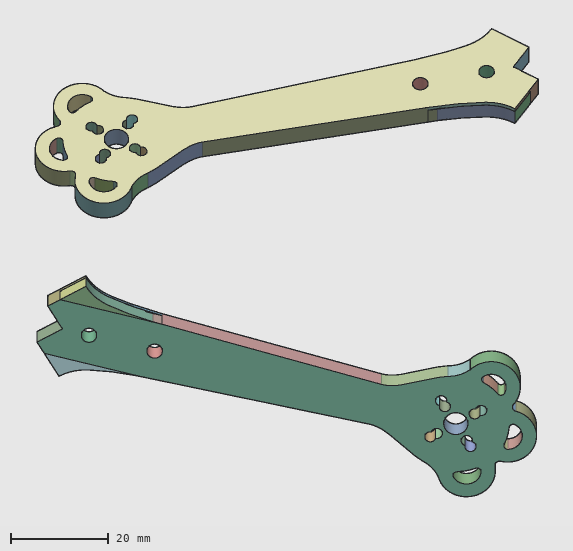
import cadquery as cq
import math

THICKNESS = 5.0
TOP_SKIN = 1.0
GUSSET_HEIGHT = THICKNESS - TOP_SKIN
ARM_ANGLE = 45.0

SHAFT_DIAMETER = 5.0
SCREW_DIAMETER = 2.3
SCREW_RADII = (4.5, 6.0)
SCREW_COUNT = 4

LOBE_RADIUS = 5.95
LOBE_DISTANCE = 11.0
LOBE_SPACING = 63.5
LOBE_ANGLES = [ARM_ANGLE + 180 + i * LOBE_SPACING for i in (-1, 0, 1)]
VALLEY_RADIUS = 1.0
WINDOW_RADIUS = 3.0
WINDOW_INNER_RADIUS = 11.0
WINDOW_CORNER_RADIUS = 0.8

LOBE_END = (9.2, -8.7)
NECK_ARC_MIDDLE = (9.2, -6.85)
NECK_START = (10.2, -4.0)
NECK_MIDDLE = (12.8, 3.9)
NECK_END = (15.4, 8.7)

FLARE_START = (49.8, 40.8)
GUSSET_CURVE_X = 51.2
FLARE_MIDDLE = (57.3, 47.0)
TIP = 65.1
TIP_SIDE = 50.0
NOTCH = 59.05
TIP_HOLE_DIAMETER = 3.2
TIP_HOLE_PLACES = (45.2, 55.1)

EDGE_DIRECTION = (FLARE_START[0] - NECK_END[0], FLARE_START[1] - NECK_END[1])
EDGE_SLOPE = EDGE_DIRECTION[1] / EDGE_DIRECTION[0]
GUSSET_INNER_END = FLARE_START[1] + TIP - FLARE_START[0]
NECK_DIRECTION = (1, 2)
TIP_DIRECTION = (1, 0)


def polar(radius, angle):
    """Point at a distance from the motor axis, angle in degrees."""
    return (radius * math.cos(math.radians(angle)), radius * math.sin(math.radians(angle)))


def swap(point):
    """Mirror a point or a direction about y = x."""
    return (point[1], point[0])


def reverse_swap(direction):
    """Mirror a direction about y = x and turn it round."""
    return (-direction[1], -direction[0])


def along_edge(x):
    """Point on the line of the lower arm edge."""
    return (x, NECK_END[1] + EDGE_SLOPE * (x - NECK_END[0]))


def extrude_lobes():
    """Three lobes and the web joining them, with rounded valleys between the lobes."""
    centres = [polar(LOBE_DISTANCE, angle) for angle in LOBE_ANGLES]
    web = cq.Workplane("XY").polyline([(0, 0)] + centres).close().extrude(THICKNESS)
    for centre in centres:
        web = web.union(cq.Workplane("XY").center(*centre).circle(LOBE_RADIUS).extrude(THICKNESS))
    half_spacing = math.radians(LOBE_SPACING / 2)
    half_gap = LOBE_DISTANCE * math.sin(half_spacing)
    valley_distance = LOBE_DISTANCE * math.cos(half_spacing) + math.sqrt(LOBE_RADIUS**2 - half_gap**2)
    for side in (-1, 1):
        x, y = polar(valley_distance, ARM_ANGLE + 180 + side * LOBE_SPACING / 2)
        valley = cq.selectors.NearestToPointSelector((x, y, THICKNESS / 2))
        web = web.edges("|Z").edges(valley).fillet(VALLEY_RADIUS)
    return web


def extrude_arm():
    """Neck, straight arm and flared tip."""
    lobe_centre = polar(LOBE_DISTANCE, LOBE_ANGLES[2])
    return (
        cq.Workplane("XY")
        .moveTo(*lobe_centre)
        .lineTo(*LOBE_END)
        .threePointArc(NECK_ARC_MIDDLE, NECK_START)
        .spline([NECK_MIDDLE, NECK_END], [NECK_DIRECTION, EDGE_DIRECTION], includeCurrent=True)
        .lineTo(*FLARE_START)
        .spline([FLARE_MIDDLE, (TIP, TIP_SIDE)], [EDGE_DIRECTION, TIP_DIRECTION], includeCurrent=True)
        .lineTo(TIP, NOTCH)
        .lineTo(NOTCH, NOTCH)
        .lineTo(NOTCH, TIP)
        .lineTo(TIP_SIDE, TIP)
        .spline(
            [swap(FLARE_MIDDLE), swap(FLARE_START)],
            [reverse_swap(TIP_DIRECTION), reverse_swap(EDGE_DIRECTION)],
            includeCurrent=True,
        )
        .lineTo(*swap(NECK_END))
        .spline(
            [swap(NECK_MIDDLE), swap(NECK_START)],
            [reverse_swap(EDGE_DIRECTION), reverse_swap(NECK_DIRECTION)],
            includeCurrent=True,
        )
        .threePointArc(swap(NECK_ARC_MIDDLE), swap(LOBE_END))
        .lineTo(*swap(lobe_centre))
        .lineTo(0, 0)
        .close()
        .extrude(THICKNESS)
    )


def make_lobe_window(angle):
    """Half-moon cutter: a circle in the lobe less a disc around the motor."""
    disc = cq.Workplane("XY").circle(WINDOW_INNER_RADIUS).extrude(THICKNESS)
    return (
        cq.Workplane("XY")
        .center(*polar(LOBE_DISTANCE, angle))
        .circle(WINDOW_RADIUS)
        .extrude(THICKNESS)
        .cut(disc)
        .edges("|Z")
        .fillet(WINDOW_CORNER_RADIUS)
    )


def make_flare_gusset():
    """Lower flare body between a face parallel to the arm axis and the flare curve."""
    return (
        cq.Workplane("XY")
        .moveTo(*FLARE_START)
        .lineTo(*along_edge(GUSSET_CURVE_X))
        .spline([FLARE_MIDDLE, (TIP, TIP_SIDE)], [EDGE_DIRECTION, TIP_DIRECTION], includeCurrent=True)
        .lineTo(TIP, GUSSET_INNER_END)
        .close()
        .extrude(GUSSET_HEIGHT)
    )


def make_flare_recess():
    """Cutter that clears the arm below the top skin, outside the inner face of the gusset."""
    return (
        cq.Workplane("XY")
        .moveTo(*FLARE_START)
        .lineTo(TIP, GUSSET_INNER_END)
        .lineTo(TIP, FLARE_START[1])
        .close()
        .extrude(GUSSET_HEIGHT)
    )


def mirror_across_arm(body):
    """Mirror a body about the vertical plane y = x."""
    return body.mirror("XZ").rotate((0, 0, 0), (0, 0, 1), 2 * ARM_ANGLE)


def make_holes(places, diameter):
    """Cutters for round holes through the whole thickness."""
    return cq.Workplane("XY").pushPoints(places).circle(diameter / 2).extrude(THICKNESS)


def make_arm():
    """Main body with its holes, windows and the recesses for the gussets."""
    body = extrude_lobes().union(extrude_arm())
    body = body.cut(make_holes([(0, 0)], SHAFT_DIAMETER))
    for radius in SCREW_RADII:
        screw_places = [polar(radius, i * 360 / SCREW_COUNT) for i in range(SCREW_COUNT)]
        body = body.cut(make_holes(screw_places, SCREW_DIAMETER))
    body = body.cut(make_holes([(place, place) for place in TIP_HOLE_PLACES], TIP_HOLE_DIAMETER))
    for angle in LOBE_ANGLES:
        body = body.cut(make_lobe_window(angle))
    recess = make_flare_recess()
    return body.cut(recess).cut(mirror_across_arm(recess))


arm = make_arm()
flare_gusset = make_flare_gusset()
flare_gussets = [flare_gusset, mirror_across_arm(flare_gusset)]

result = cq.Compound.makeCompound([*arm.solids().vals(), *[gusset.val() for gusset in flare_gussets]])